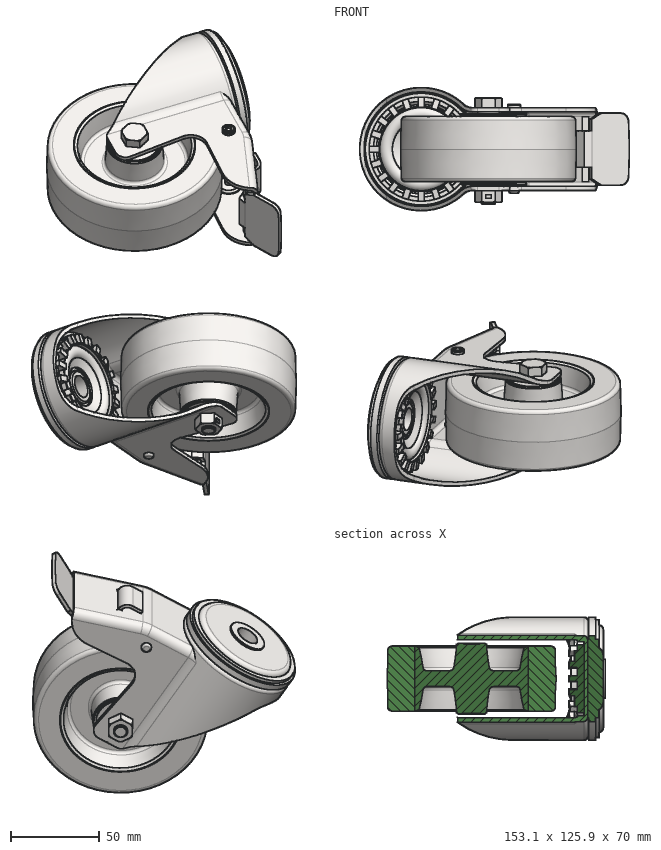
import cadquery as cq
import math


HEAD_R = 34.99
HEAD_BOTTOM = -9.8
STUD_HOLE_R = 6.5
KNURL_R = 11.0
KNURL_H = 1.0
CAP_FLAT_R = 27.3
CAP_R = 30.5
CAP_BOTTOM = -3.5
STEP_R = 33.5
RING_TOP = -5.5
RING_BEVEL = (1.8, 0.5)
NECK_R = 23.6
BOWL_EDGE = -16.5
BOWL_CREST = (21.1, -18.8)
BOWL_INNER = (16.4, -16.7)
BOWL_FLOOR = (11.5, -14.1)
COLLAR_ROOT = -12.9
STUD_R = 9.8
STUD_TIP = -14.4
STUD_CHAMFER = 0.9

AXLE_X = 38.1
TYRE_R = 49.9
AXLE_Y = TYRE_R - 125.9
TYRE_HALF_W = 18.5
TYRE_CROWN = 0.5
TYRE_EDGE_H = 2.0
TYRE_EDGE_W = 2.8
RIM_R = 34.6
RIM_WALL_R = 32.5
RIM_ROOT_R = 30.5
RIM_LIP_DEPTH = 0.9
RIM_LAND = 0.5
WEB_HALF_T = 4.6
WEB_ROUND = 1.8
BOSS_ROOT_R = 16.7
BOSS_TIP_R = 15.8
BOSS_CHAMFER = (0.6, 0.8)
BOSS_RECESS_R = 14.0
BOSS_RECESS_DEPTH = 0.5
SLEEVE_R = 6.1
HUB_HALF_L = 20.2
BOLT_R = 4.0

PLATE_T = 2.5
ARM_HALF_W = 23.6
ARM_INNER = ARM_HALF_W - PLATE_T
ARM_BEND_R = 7.7
ROOF_Y = -12.5
ROOF_KINK_X = 59.1
ROOF_END = (100.0, -25.4)
ROOF_BEND_R = 5.0
ROOF_KINK_R = 18.4
CROWN_ROUND = 2.5
ARM_BOTTOM = -90.0
SHELL_FRONT_Y = -19.8
FRONT_CURVE_R = 15.3
FRONT_CURVE_X = -32.0
ARM_TOE_X = 29.5
THROAT_CORNER = (45.6, -38.7)
THROAT_R = 9.8
TAIL_START = (82.0, -40.0)
TAIL_MID = (91.5, -37.7)
TAIL_END = (98.6, -30.2)
ARM_HEEL_X = 50.8
ARM_HEEL_R = 6.1
ARM_TOE_R = 4.6

CAGE_R = 31.7
CAGE_BOTTOM = -19.5
CAGE_LIP_R = 24.3
CAGE_FLOOR = -16.1
RACE_INNER_R = 25.4
RACE_OUTER_R = 27.1
RACE_EDGE = -17.6
TOOTH_COUNT = 20
TOOTH_W = 3.5
TOOTH_INNER = (23.9, -20.8)
TOOTH_OUTER = (29.5, -20.0)

HEX_ACROSS_CORNERS = 15.5
BOLT_HEAD_TOP = 29.1
NUT_BOTTOM = -30.2
BOLT_TIP = -31.4
HEX_CHAMFER = 0.6
NUT_MARK = (3.0, 2.1)
NUT_MARK_DEPTH = 0.5

PIVOT_X = 52.7
PIVOT_Y = -24.2
PIVOT_R = 2.07
PIVOT_HEAD_R = 3.7
PIVOT_HEAD_TOP = 25.5
PIVOT_TAIL_R = 2.9
TAIL_ROUND = 1.2
PIVOT_TAIL_TIP = -25.1
SOCKET_R = 1.8
SOCKET_DEPTH = 1.5
COLLAR_R = 7.4
COLLAR_INNER = 18.7
COLLAR_OUTER = 20.5

STRAP_T = 1.8
STRAP_HALF_W = 10.4
HOOK_TOP = -11.8
HOOK_START_X = 62.6
HOOK_BACK_X = 75.3
HOOK_R = 6.0
STRAP_ELBOW_Y = -21.9
STRAP_KNEE = (89.1, -27.0)
STRAP_FOOT = (93.1, -31.2)
UNDER_ELBOW_Y = -23.3
UNDER_KNEE = (87.9, -29.1)
UNDER_FOOT = (92.5, -34.0)
PEDAL_ANGLE = 30.0
PEDAL_TIP = (118.14, -20.0)
PEDAL_L = 24.5
PEDAL_T = 2.3
PEDAL_HALF_W = 20.5
PEDAL_HEEL_L = 6.1
PEDAL_HEEL_INSET = 3.5
PEDAL_TIP_R = 5.4
PEDAL_BOW = 0.8
CROSSBAR_L = 3.7
CROSSBAR_H = 3.7
CROSSBAR_HALF_W = 18.4
CROSSBAR_CENTRE = (93.1, -29.1, 0)
SLOT_CLEARANCE = 0.5

BIG = 91.9


def revolve_about_swivel(points):
    """Turn a radius / height outline about the swivel axis."""
    return cq.Workplane("XY").polyline(points).close().revolve(360, (0, 0, 0), (0, 1, 0))


def axial_cylinder(x, y, radius, z0, z1):
    """Cylinder parallel to Z."""
    return cq.Workplane("XY", origin=(x, y, z0)).circle(radius).extrude(z1 - z0)


def swivel_cylinder(radius, y0, y1):
    """Cylinder about the swivel axis, from y0 down to y1."""
    return cq.Workplane("XZ", origin=(0, y0, 0)).circle(radius).extrude(y0 - y1)


def axle_hexagon(z0, z1, outer_face):
    """Hexagon on the axle, with the corners of its outer face turned off."""
    prism = cq.Workplane("XY", origin=(AXLE_X, AXLE_Y, z0)).polygon(6, HEX_ACROSS_CORNERS).extrude(z1 - z0)
    turned = axial_cylinder(AXLE_X, AXLE_Y, HEX_ACROSS_CORNERS / 2, z0, z1)
    return prism.intersect(turned.faces(outer_face).chamfer(HEX_CHAMFER))


def fork_section(inset):
    """Plan of the fork: a round shell blending into two parallel arms, moved inward by inset."""
    shell_r = HEAD_R - inset
    arm_z = ARM_HALF_W - inset
    bend_r = ARM_BEND_R + inset
    bend_z = arm_z + bend_r
    bend_x = math.sqrt((shell_r + bend_r) ** 2 - bend_z ** 2)
    touch = shell_r / (shell_r + bend_r)
    mid_angle = (math.atan2(bend_z, bend_x) + math.pi / 2) / 2
    mid_x = bend_x - bend_r * math.cos(mid_angle)
    mid_z = bend_z - bend_r * math.sin(mid_angle)
    return (
        cq.Workplane("XZ", origin=(0, ROOF_Y, 0))
        .moveTo(bend_x * touch, bend_z * touch)
        .threePointArc((-shell_r, 0), (bend_x * touch, -bend_z * touch))
        .threePointArc((mid_x, -mid_z), (bend_x, -arm_z))
        .lineTo(2 * BIG, -arm_z)
        .lineTo(2 * BIG, arm_z)
        .lineTo(bend_x, arm_z)
        .threePointArc((mid_x, mid_z), (bend_x * touch, bend_z * touch))
        .close()
    )


def fork_side():
    """Side shape of the fork, as a slab wider than the fork."""
    centre = (FRONT_CURVE_X, SHELL_FRONT_Y - FRONT_CURVE_R)
    to_toe = (ARM_TOE_X - centre[0], ARM_BOTTOM - centre[1])
    reach = math.hypot(*to_toe)
    slope = math.atan2(to_toe[1], to_toe[0]) + math.acos(FRONT_CURVE_R / reach)

    def on_curve(angle):
        return (
            centre[0] + FRONT_CURVE_R * math.cos(angle),
            centre[1] + FRONT_CURVE_R * math.sin(angle),
        )

    side = (
        cq.Workplane("XY", origin=(0, 0, -BIG))
        .moveTo(-BIG, ROOF_Y)
        .lineTo(-BIG, SHELL_FRONT_Y)
        .lineTo(FRONT_CURVE_X, SHELL_FRONT_Y)
        .threePointArc(on_curve((slope + math.pi / 2) / 2), on_curve(slope))
        .lineTo(ARM_TOE_X, ARM_BOTTOM)
        .lineTo(ARM_HEEL_X, ARM_BOTTOM)
        .lineTo(*THROAT_CORNER)
        .lineTo(*TAIL_START)
        .threePointArc(TAIL_MID, TAIL_END)
        .lineTo(*ROOF_END)
        .lineTo(ROOF_KINK_X, ROOF_Y)
        .close()
        .extrude(2 * BIG)
    )
    side = side.edges(cq.NearestToPointSelector((*THROAT_CORNER, 0))).fillet(THROAT_R)
    side = side.edges(cq.NearestToPointSelector((ARM_TOE_X, ARM_BOTTOM, 0))).fillet(ARM_TOE_R)
    return side.edges(cq.NearestToPointSelector((ARM_HEEL_X, ARM_BOTTOM, 0))).fillet(ARM_HEEL_R)


def round_roof(body, inset):
    """Round the kink across the roof, then the whole rim of the roof, on a skin moved inward by inset."""
    roof_y = ROOF_Y - inset
    body = body.edges(cq.NearestToPointSelector((ROOF_KINK_X, roof_y, 0))).fillet(ROOF_KINK_R - inset)
    rim = cq.NearestToPointSelector(((ARM_TOE_X + ROOF_KINK_X) / 2, roof_y, ARM_HALF_W - inset))
    return body.edges(rim).fillet(ROOF_BEND_R - inset)


def fork_space():
    """Space inside the fork, between the arms, under the roof and inside the round shell."""
    slope = math.atan2(ROOF_Y - ROOF_END[1], ROOF_END[0] - ROOF_KINK_X)
    under = ROOF_Y - PLATE_T
    under_kink_x = ROOF_KINK_X - PLATE_T * math.tan(slope / 2)
    below_roof = (
        cq.Workplane("XY", origin=(0, 0, -BIG))
        .polyline([
            (-BIG, under),
            (under_kink_x, under),
            (under_kink_x + BIG, under - BIG * math.tan(slope)),
            (under_kink_x + BIG, -2 * BIG),
            (-BIG, -2 * BIG),
        ])
        .close()
        .extrude(2 * BIG)
    )
    space = round_roof(fork_section(PLATE_T).extrude(BIG).intersect(below_roof), PLATE_T)
    return space.union(swivel_cylinder(HEAD_R - PLATE_T, HEAD_BOTTOM - PLATE_T, SHELL_FRONT_Y))


def strap_slot():
    """Opening in the roof for the strap of the brake lever."""
    slot_l = STRAP_T + 2 * SLOT_CLEARANCE
    slot_w = 2 * (STRAP_HALF_W + SLOT_CLEARANCE)
    slot_x = HOOK_BACK_X - STRAP_T / 2
    return cq.Workplane("XZ", origin=(slot_x, 0, 0)).rect(slot_l, slot_w).extrude(-PIVOT_Y)


def make_fork():
    body = round_roof(fork_section(0).extrude(-ARM_BOTTOM).intersect(fork_side()), 0)
    crown = swivel_cylinder(HEAD_R, HEAD_BOTTOM, SHELL_FRONT_Y).faces(">Y").edges().fillet(CROWN_ROUND)
    body = body.union(crown).cut(fork_space())
    body = body.cut(swivel_cylinder(NECK_R, 0, SHELL_FRONT_Y))
    body = body.cut(axial_cylinder(AXLE_X, AXLE_Y, BOLT_R, -BIG, BIG))
    body = body.cut(axial_cylinder(PIVOT_X, PIVOT_Y, PIVOT_R, -BIG, BIG))
    return body.cut(strap_slot())


def make_head():
    """Hollow turned head: stepped cap above the fork, rounded bowl below it."""
    diagonal = math.sqrt(0.5)
    cap_shoulder = (
        CAP_FLAT_R + (CAP_R - CAP_FLAT_R) * diagonal,
        CAP_BOTTOM + (-KNURL_H - CAP_BOTTOM) * diagonal,
    )
    outline = (
        cq.Workplane("XY")
        .moveTo(STUD_HOLE_R, 0)
        .lineTo(KNURL_R, 0)
        .lineTo(KNURL_R, -KNURL_H)
        .lineTo(CAP_FLAT_R, -KNURL_H)
        .threePointArc(cap_shoulder, (CAP_R, CAP_BOTTOM))
        .lineTo(STEP_R, CAP_BOTTOM)
        .lineTo(STEP_R, RING_TOP)
        .lineTo(HEAD_R, RING_TOP)
        .lineTo(HEAD_R, HEAD_BOTTOM + RING_BEVEL[1])
        .lineTo(HEAD_R - RING_BEVEL[0], HEAD_BOTTOM)
        .lineTo(NECK_R, HEAD_BOTTOM)
        .lineTo(NECK_R, BOWL_EDGE)
        .threePointArc(BOWL_CREST, BOWL_INNER)
        .lineTo(*BOWL_FLOOR)
        .lineTo(BOWL_FLOOR[0], COLLAR_ROOT)
        .lineTo(STUD_R, COLLAR_ROOT)
        .lineTo(STUD_R, STUD_TIP + STUD_CHAMFER)
        .lineTo(STUD_R - STUD_CHAMFER, STUD_TIP)
        .lineTo(STUD_HOLE_R, STUD_TIP)
        .close()
    )
    return outline.revolve(360, (0, 0, 0), (0, 1, 0))


def make_cage():
    """Ring inside the fork shell, with a groove in its lower face bridged by a circle of teeth."""
    top = HEAD_BOTTOM - PLATE_T
    cage = revolve_about_swivel([
        (NECK_R, top),
        (NECK_R, CAGE_BOTTOM),
        (CAGE_LIP_R, CAGE_BOTTOM),
        (CAGE_LIP_R, CAGE_FLOOR),
        (RACE_INNER_R, CAGE_FLOOR),
        (RACE_OUTER_R, RACE_EDGE),
        (TOOTH_OUTER[0], RACE_EDGE),
        (TOOTH_OUTER[0], CAGE_FLOOR),
        (CAGE_R, CAGE_FLOOR),
        (CAGE_R, top),
    ])
    tooth = (
        cq.Workplane("XY", origin=(0, 0, -TOOTH_W / 2))
        .moveTo(TOOTH_INNER[0], CAGE_FLOOR)
        .lineTo(*TOOTH_INNER)
        .lineTo(*TOOTH_OUTER)
        .lineTo(TOOTH_OUTER[0], CAGE_FLOOR)
        .close()
        .extrude(TOOTH_W)
    )
    for i in range(TOOTH_COUNT):
        cage = cage.union(tooth.rotate((0, 0, 0), (0, 1, 0), i * 360 / TOOTH_COUNT))
    return cage


def wheel_profile():
    """Workplane through the axle, with local x as the radius and local y as Z."""
    return cq.Workplane("XZ", origin=(AXLE_X, AXLE_Y, 0))


def turn_about_axle(half_outline):
    """Turn a closed outline that ends on z = 0, and mirror it to the other side."""
    half = half_outline.revolve(360, (0, 0, 0), (0, 1, 0))
    return half.union(half.mirror("XY"))


def diagonal_point(corner, size_r, size_z):
    """Point at 45 degrees on a quarter round that fills or trims a corner of the wheel outline."""
    share = 1 - math.sqrt(0.5)
    return (corner[0] + size_r * share, corner[1] + size_z * share)


def make_tyre():
    shoulder_r = TYRE_R - TYRE_CROWN
    edge_point = diagonal_point((shoulder_r, TYRE_HALF_W), -TYRE_EDGE_W, -TYRE_EDGE_H)
    outline = (
        wheel_profile()
        .moveTo(RIM_R, 0)
        .lineTo(TYRE_R, 0)
        .lineTo(shoulder_r, TYRE_HALF_W - TYRE_EDGE_H)
        .threePointArc(edge_point, (shoulder_r - TYRE_EDGE_W, TYRE_HALF_W))
        .lineTo(RIM_R, TYRE_HALF_W)
        .close()
    )
    return turn_about_axle(outline)


def make_hub():
    """Rim, thin web and long boss, with a small sleeve that meets each arm."""
    recess_z = HUB_HALF_L - BOSS_RECESS_DEPTH
    round_z = WEB_HALF_T + WEB_ROUND
    boss_round = diagonal_point((BOSS_ROOT_R, WEB_HALF_T), WEB_ROUND, WEB_ROUND)
    rim_round = diagonal_point((RIM_ROOT_R, WEB_HALF_T), -WEB_ROUND, WEB_ROUND)
    outline = (
        wheel_profile()
        .moveTo(BOLT_R, 0)
        .lineTo(BOLT_R, ARM_INNER)
        .lineTo(SLEEVE_R, ARM_INNER)
        .lineTo(SLEEVE_R, recess_z)
        .lineTo(BOSS_RECESS_R, recess_z)
        .lineTo(BOSS_RECESS_R, HUB_HALF_L)
        .lineTo(BOSS_TIP_R - BOSS_CHAMFER[0], HUB_HALF_L)
        .lineTo(BOSS_TIP_R, HUB_HALF_L - BOSS_CHAMFER[1])
        .lineTo(BOSS_ROOT_R, round_z)
        .threePointArc(boss_round, (BOSS_ROOT_R + WEB_ROUND, WEB_HALF_T))
        .lineTo(RIM_ROOT_R - WEB_ROUND, WEB_HALF_T)
        .threePointArc(rim_round, (RIM_ROOT_R, round_z))
        .lineTo(RIM_WALL_R, TYRE_HALF_W - RIM_LIP_DEPTH)
        .lineTo(RIM_R - RIM_LAND, TYRE_HALF_W)
        .lineTo(RIM_R, TYRE_HALF_W)
        .lineTo(RIM_R, 0)
        .close()
    )
    return turn_about_axle(outline)


def make_bolt():
    head = axle_hexagon(ARM_HALF_W, BOLT_HEAD_TOP, ">Z")
    shank = axial_cylinder(AXLE_X, AXLE_Y, BOLT_R, BOLT_TIP, ARM_HALF_W)
    return head.union(shank.faces("<Z").chamfer(HEX_CHAMFER))


def make_nut():
    """Nut with a small rectangular mark sunk into its lower flat."""
    nut = axle_hexagon(NUT_BOTTOM, -ARM_HALF_W, "<Z")
    nut = nut.cut(axial_cylinder(AXLE_X, AXLE_Y, BOLT_R, -BIG, BIG))
    flat_y = AXLE_Y - HEX_ACROSS_CORNERS / 2 * math.cos(math.pi / 6)
    mid_z = (NUT_BOTTOM - ARM_HALF_W) / 2
    mark = cq.Workplane("XY").box(NUT_MARK[0], 2 * NUT_MARK_DEPTH, NUT_MARK[1])
    return nut.cut(mark.translate((AXLE_X, flat_y, mid_z)))


def make_pivot():
    """Riveted pin between the arms, with a socket head, a domed tail and a collar by each arm."""
    pin = axial_cylinder(PIVOT_X, PIVOT_Y, PIVOT_R, -ARM_HALF_W, ARM_HALF_W)
    head = axial_cylinder(PIVOT_X, PIVOT_Y, PIVOT_HEAD_R, ARM_HALF_W, PIVOT_HEAD_TOP)
    head = head.faces(">Z").chamfer(HEX_CHAMFER)
    head = head.cut(axial_cylinder(PIVOT_X, PIVOT_Y, SOCKET_R, PIVOT_HEAD_TOP - SOCKET_DEPTH, PIVOT_HEAD_TOP))
    tail = axial_cylinder(PIVOT_X, PIVOT_Y, PIVOT_TAIL_R, PIVOT_TAIL_TIP, -ARM_HALF_W)
    tail = tail.faces("<Z").edges().fillet(TAIL_ROUND)
    collar = axial_cylinder(PIVOT_X, PIVOT_Y, COLLAR_R, COLLAR_INNER, COLLAR_OUTER)
    collar = collar.faces("<Z").chamfer(COLLAR_OUTER - COLLAR_INNER - HEX_CHAMFER)
    return pin.union(head).union(tail).union(collar).union(collar.mirror("XY"))


def make_pedal():
    angle = math.radians(PEDAL_ANGLE)
    along = (math.cos(angle), math.sin(angle), 0)
    up = (-math.sin(angle), math.cos(angle), 0)
    tip_plane = cq.Plane(origin=(*PEDAL_TIP, 0), xDir=along, normal=up)
    shoulder_x = PEDAL_HEEL_L - PEDAL_L
    heel_w = PEDAL_HALF_W - PEDAL_HEEL_INSET
    pedal = (
        cq.Workplane(tip_plane)
        .moveTo(-PEDAL_L, -heel_w)
        .lineTo(shoulder_x, -PEDAL_HALF_W)
        .lineTo(-PEDAL_BOW, -PEDAL_HALF_W)
        .threePointArc((0, 0), (-PEDAL_BOW, PEDAL_HALF_W))
        .lineTo(shoulder_x, PEDAL_HALF_W)
        .lineTo(-PEDAL_L, heel_w)
        .close()
        .extrude(PEDAL_T)
    )
    corner_x = PEDAL_TIP[0] - PEDAL_BOW * along[0] + PEDAL_T / 2 * up[0]
    corner_y = PEDAL_TIP[1] - PEDAL_BOW * along[1] + PEDAL_T / 2 * up[1]
    for side in (-1, 1):
        corner = cq.NearestToPointSelector((corner_x, corner_y, side * PEDAL_HALF_W))
        pedal = pedal.edges(corner).fillet(PEDAL_TIP_R)
    return pedal


def make_lever():
    """Bent strap that hooks through the roof of the fork and carries the foot pedal."""
    bend_y = HOOK_TOP - HOOK_R
    bend_x = HOOK_BACK_X - HOOK_R
    inner_r = HOOK_R - STRAP_T
    mid = math.sqrt(0.5)
    angle = math.radians(PEDAL_ANGLE)
    heel_bottom = (
        PEDAL_TIP[0] - PEDAL_L * math.cos(angle),
        PEDAL_TIP[1] - PEDAL_L * math.sin(angle),
    )
    heel_top = (
        heel_bottom[0] - PEDAL_T * math.sin(angle),
        heel_bottom[1] + PEDAL_T * math.cos(angle),
    )
    strap = (
        cq.Workplane("XY", origin=(0, 0, -STRAP_HALF_W))
        .moveTo(HOOK_START_X, HOOK_TOP)
        .lineTo(bend_x, HOOK_TOP)
        .threePointArc((bend_x + mid * HOOK_R, bend_y + mid * HOOK_R), (HOOK_BACK_X, bend_y))
        .lineTo(HOOK_BACK_X, STRAP_ELBOW_Y)
        .lineTo(*STRAP_KNEE)
        .lineTo(*STRAP_FOOT)
        .lineTo(*heel_top)
        .lineTo(*heel_bottom)
        .lineTo(*UNDER_FOOT)
        .lineTo(*UNDER_KNEE)
        .lineTo(HOOK_BACK_X - STRAP_T, UNDER_ELBOW_Y)
        .lineTo(HOOK_BACK_X - STRAP_T, bend_y)
        .threePointArc((bend_x + mid * inner_r, bend_y + mid * inner_r), (bend_x, HOOK_TOP - STRAP_T))
        .lineTo(HOOK_START_X, HOOK_TOP - STRAP_T)
        .close()
        .extrude(2 * STRAP_HALF_W)
    )
    crossbar = cq.Workplane("XY").box(CROSSBAR_L, CROSSBAR_H, 2 * CROSSBAR_HALF_W).translate(CROSSBAR_CENTRE)
    return strap.union(crossbar).union(make_pedal())


fork = make_fork()
head = make_head()
cage = make_cage()
tyre = make_tyre()
hub = make_hub()
bolt = make_bolt()
nut = make_nut()
pivot = make_pivot()
lever = make_lever()

bodies = [fork, head, cage, tyre, hub, bolt, nut, pivot, lever]
result = cq.Compound.makeCompound([body.val() for body in bodies])